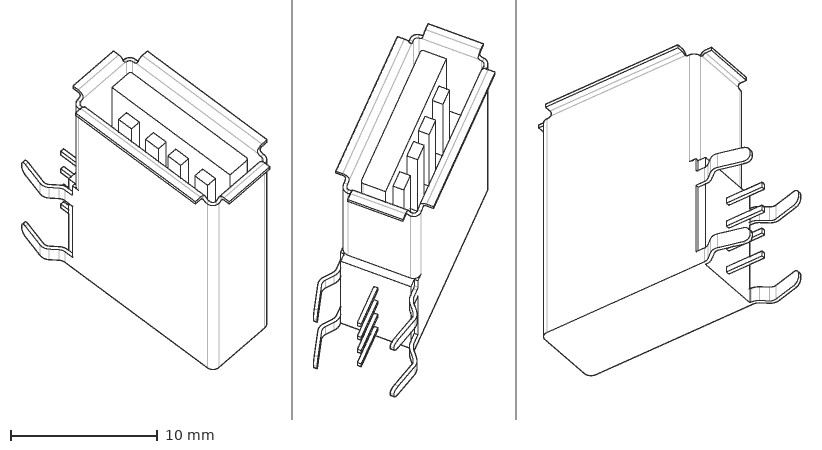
import cadquery as cq
import math

HEIGHT = 19.2
LENGTH = 18.41

SHELL_X = 13.08
SHELL_Y = 5.7
SHEET = 0.27
CORNER_RADIUS = 0.55
RIM_Z = 18.6
CAVITY_X = SHELL_X - 2 * SHEET
CAVITY_Y = SHELL_Y - 2 * SHEET

LIP_SPAN_X = 14.52
LIP_SPAN_Y = 7.2
LIP_WIDTH_ON_LONG_SIDE = 11.12
LIP_WIDTH_ON_SHORT_SIDE = 4.07
LIP_BEND_RADIUS = 0.5
LIP_RELIEF_RADIUS = 0.35

HOUSING_BACK_X = -7.15
HOUSING_TOP_Z = 9.31
TONGUE_X = 10.96
TONGUE_FRONT_Y = -0.04
TONGUE_REAR_Y = 1.8
TONGUE_TOP_Z = 18.68
TONGUE_CORNER_RADIUS = 0.2
CONTACT_X = 1.2
CONTACT_Y = 0.79
CONTACT_TOP_Z = 17.05
CONTACT_OFFSETS = (1.04, 3.53)

PIN_TIP_X = -10.14
PIN_Y = 0.29
PIN_Z = 0.45
PIN_PITCH = 2.0
PIN_ROW_CENTRE_Z = 4.13
PIN_COUNT = 4

LEG_TIP_X = LIP_SPAN_X / 2 - LENGTH
LEG_WIDTH = 1.2
UPPER_LEG_BOTTOM_Z = 6.99
LEG_TIP_RADIUS = 0.48
LEG_ROOT_RADIUS = 0.15
LEG_KNEE_X = -7.24
LEG_KNEE_RADIUS = 0.79
LEG_CREST_X = -8.68
LEG_CREST_RADIUS = 0.65
LEG_REACH_Y = LIP_SPAN_Y / 2
LEG_RETURN_ANGLE = math.radians(15)


def box(x_min, x_max, y_min, y_max, z_min, z_max):
    """Axis-aligned block between the given limits."""
    size = (x_max - x_min, y_max - y_min, z_max - z_min)
    return cq.Workplane("XY").box(*size, centered=False).translate((x_min, y_min, z_min))


def make_shell():
    """Rectangular tube with rounded edges, its back wall open beside the housing."""
    outer = cq.Workplane("XY").rect(SHELL_X, SHELL_Y).extrude(RIM_Z).edges("|Z").fillet(CORNER_RADIUS)
    cavity = (
        cq.Workplane("XY").rect(CAVITY_X, CAVITY_Y).extrude(RIM_Z)
        .edges("|Z").fillet(CORNER_RADIUS - SHEET)
    )
    flat_x = -SHELL_X / 2 + CORNER_RADIUS
    side_walls = box(-SHELL_X / 2, flat_x, -SHELL_Y / 2, SHELL_Y / 2, 0, HOUSING_TOP_Z)
    return outer.union(side_walls).cut(cavity)


def make_lip(wall, reach, width):
    """Lip flaring toward +X from a wall whose outer face is at X = wall."""
    inner = wall - SHEET
    bend_z = HEIGHT - LIP_BEND_RADIUS
    bend_x = inner + LIP_BEND_RADIUS
    diagonal = math.sqrt(0.5)
    under_radius = LIP_BEND_RADIUS - SHEET
    top_mid = (bend_x - LIP_BEND_RADIUS * diagonal, bend_z + LIP_BEND_RADIUS * diagonal)
    under_mid = (bend_x - under_radius * diagonal, bend_z + under_radius * diagonal)
    base_width = width + 2 * LIP_RELIEF_RADIUS
    strip = (
        cq.Workplane("XZ")
        .moveTo(inner, RIM_Z)
        .lineTo(inner, bend_z)
        .threePointArc(top_mid, (bend_x, HEIGHT))
        .lineTo(reach, HEIGHT)
        .lineTo(reach, HEIGHT - SHEET)
        .lineTo(bend_x, HEIGHT - SHEET)
        .threePointArc(under_mid, (wall, bend_z))
        .lineTo(wall, RIM_Z)
        .close()
        .extrude(base_width / 2, both=True)
    )
    relief_z = RIM_Z + LIP_RELIEF_RADIUS
    for side in (-1, 1):
        relief = (
            cq.Workplane("YZ")
            .center(side * base_width / 2, relief_z)
            .circle(LIP_RELIEF_RADIUS)
            .extrude(2 * reach)
        )
        edge = sorted((side * width / 2, side * base_width / 2))
        strip = strip.cut(relief).cut(box(0, 2 * reach, *edge, relief_z, HEIGHT))
    return strip


def make_lips():
    """Four lips, one per wall of the shell."""
    short_side = make_lip(SHELL_X / 2, LIP_SPAN_X / 2, LIP_WIDTH_ON_SHORT_SIDE)
    long_side = make_lip(SHELL_Y / 2, LIP_SPAN_Y / 2, LIP_WIDTH_ON_LONG_SIDE)
    long_side = long_side.rotate((0, 0, 0), (0, 0, 1), 90)
    lips = short_side.union(long_side)
    return lips.union(lips.rotate((0, 0, 0), (0, 0, 1), 180))


def make_housing():
    """Insulator block with the tongue standing in the mouth and its four contacts."""
    block = box(HOUSING_BACK_X, CAVITY_X / 2, -CAVITY_Y / 2, CAVITY_Y / 2, 0, HOUSING_TOP_Z)
    tongue = box(-TONGUE_X / 2, TONGUE_X / 2, TONGUE_FRONT_Y, TONGUE_REAR_Y, HOUSING_TOP_Z, TONGUE_TOP_Z)
    housing = block.union(tongue.edges("|Z and >Y").fillet(TONGUE_CORNER_RADIUS))
    for offset in CONTACT_OFFSETS:
        for x in (-offset, offset):
            contact = box(
                x - CONTACT_X / 2, x + CONTACT_X / 2,
                TONGUE_FRONT_Y - CONTACT_Y, TONGUE_FRONT_Y,
                HOUSING_TOP_Z, CONTACT_TOP_Z,
            )
            housing = housing.union(contact)
    return housing


def make_pins():
    """Row of straight solder pins leaving the back of the housing."""
    pins = cq.Workplane("XY")
    lowest_z = PIN_ROW_CENTRE_Z - (PIN_COUNT - 1) / 2 * PIN_PITCH
    for index in range(PIN_COUNT):
        z = lowest_z + index * PIN_PITCH
        pins = pins.union(
            box(PIN_TIP_X, HOUSING_BACK_X, -PIN_Y / 2, PIN_Y / 2, z - PIN_Z / 2, z + PIN_Z / 2)
        )
    return pins


def make_leg():
    """Lower leg on the +Y side: runs outward at the knee, then back in past the crest."""
    root_y = SHELL_Y / 2 - SHEET / 2
    knee_y = root_y + LEG_KNEE_RADIUS
    crest_y = LEG_REACH_Y - SHEET / 2 - LEG_CREST_RADIUS

    across = LEG_KNEE_X - LEG_CREST_X
    rise = knee_y - crest_y
    ramp_angle = math.atan2(across, rise) - math.acos(
        (LEG_KNEE_RADIUS + LEG_CREST_RADIUS) / math.hypot(across, rise)
    )

    def on_crest(angle):
        return (
            LEG_CREST_X + LEG_CREST_RADIUS * math.sin(angle),
            crest_y + LEG_CREST_RADIUS * math.cos(angle),
        )

    knee_end = (
        LEG_KNEE_X - LEG_KNEE_RADIUS * math.sin(ramp_angle),
        knee_y - LEG_KNEE_RADIUS * math.cos(ramp_angle),
    )
    return_start = on_crest(-LEG_RETURN_ANGLE)
    end_x = LEG_TIP_X - SHEET
    end_y = return_start[1] - (return_start[0] - end_x) * math.tan(LEG_RETURN_ANGLE)
    root_x = -SHELL_X / 2
    path = (
        cq.Workplane("XY", origin=(0, 0, LEG_WIDTH / 2))
        .moveTo(root_x, root_y)
        .lineTo(LEG_KNEE_X, root_y)
        .tangentArcPoint(knee_end, relative=False)
        .lineTo(*on_crest(ramp_angle))
        .tangentArcPoint(return_start, relative=False)
        .lineTo(end_x, end_y)
    )
    strip = (
        cq.Workplane("YZ", origin=(root_x, root_y, LEG_WIDTH / 2))
        .rect(SHEET, LEG_WIDTH)
        .sweep(path)
    )
    side_outline = box(LEG_TIP_X, root_x, 0, LIP_SPAN_Y, 0, LEG_WIDTH)
    side_outline = side_outline.edges("|Y and <X").fillet(LEG_TIP_RADIUS)
    return strip.intersect(side_outline)


def make_leg_root_fillet():
    """Concave fillet between the upper leg's top edge and the back edge of the +Y wall."""
    top_z = UPPER_LEG_BOTTOM_Z + LEG_WIDTH
    back_x = -SHELL_X / 2
    corner = box(
        back_x - LEG_ROOT_RADIUS, back_x,
        CAVITY_Y / 2, SHELL_Y / 2,
        top_z, top_z + LEG_ROOT_RADIUS,
    )
    hollow = (
        cq.Workplane("XZ")
        .center(back_x - LEG_ROOT_RADIUS, top_z + LEG_ROOT_RADIUS)
        .circle(LEG_ROOT_RADIUS)
        .extrude(-SHELL_Y)
    )
    return corner.cut(hollow)


def make_legs():
    """Upper and lower legs on both side walls."""
    leg = make_leg()
    legs = leg.union(leg.translate((0, 0, UPPER_LEG_BOTTOM_Z))).union(make_leg_root_fillet())
    return legs.union(legs.mirror("XZ"))


result = (
    make_shell()
    .union(make_lips())
    .union(make_housing())
    .union(make_pins())
    .union(make_legs())
)